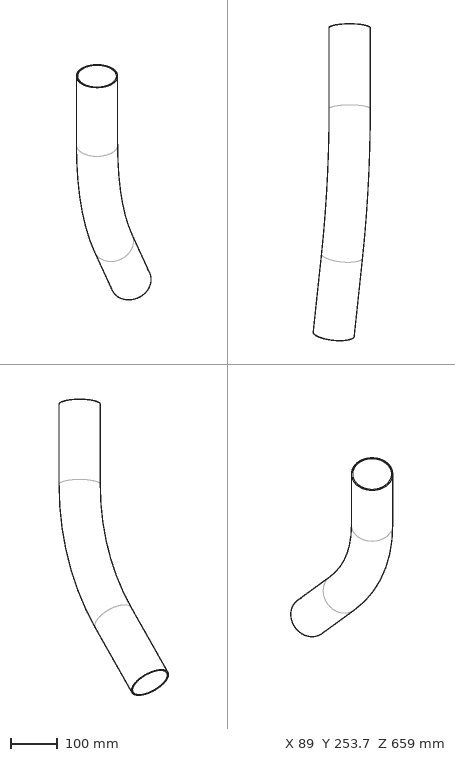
import cadquery as cq
import math

overall_height = 659.0
outer_diameter = 89.0
inner_diameter = 83.0
straight_length = 178.0
bend_angle = math.radians(30.0)

sloping_drop = straight_length * math.cos(bend_angle)
end_face_drop = outer_diameter / 2 * math.sin(bend_angle)
bend_drop = overall_height - straight_length - sloping_drop - end_face_drop
bend_radius = bend_drop / math.sin(bend_angle)


def bend_point(angle):
    """Centreline point (y, z) at an angle past the start of the bend, which is at the origin."""
    return bend_radius * (1 - math.cos(angle)), -bend_radius * math.sin(angle)


bend_middle = bend_point(bend_angle / 2)
bend_end = bend_point(bend_angle)
lower_end = (
    bend_end[0] + straight_length * math.sin(bend_angle),
    bend_end[1] - sloping_drop,
)
centreline = (
    cq.Workplane("YZ")
    .moveTo(0, straight_length)
    .lineTo(0, 0)
    .threePointArc(bend_middle, bend_end)
    .lineTo(*lower_end)
)

result = (
    cq.Workplane("XY", origin=(0, 0, straight_length))
    .circle(outer_diameter / 2)
    .circle(inner_diameter / 2)
    .sweep(centreline)
)